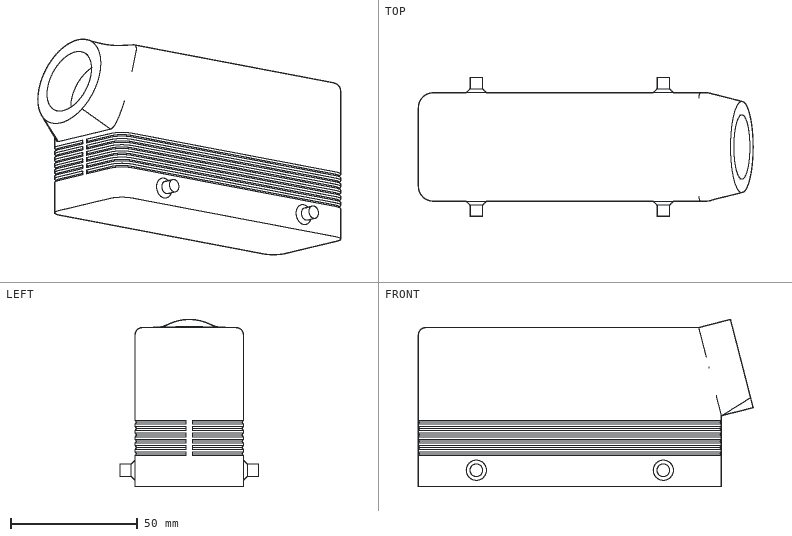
import cadquery as cq
import math

BODY_LENGTH = 120.0
BODY_WIDTH = 43.0
BODY_HEIGHT = 63.0
CORNER_RADIUS = 6.0
TOP_ROUNDING = 3.0

GROOVE_COUNT = 6
GROOVE_PITCH = 2.5
GROOVE_WIDTH = 1.5
GROOVE_DEPTH = 0.65
GROOVE_LOWEST_Z = 13.0
GROOVE_GAP = 2.4

PIN_SPACING = 74.0
PIN_Z = 6.5
PIN_DIAMETER = 5.0
PIN_REACH = 6.0
FOOT_DIAMETER = 8.0
FOOT_HEIGHT = 1.5

CUT_RUN = 9.0
CUT_DROP = 35.0
OUTLET_DIAMETER = math.hypot(CUT_RUN, CUT_DROP)
OUTLET_LENGTH = 13.0
BORE_DIAMETER = 25.5

CUT_PLANE = cq.Plane(
    origin=(BODY_LENGTH / 2 - CUT_RUN / 2, 0, BODY_HEIGHT - CUT_DROP / 2),
    xDir=(0, 1, 0),
    normal=(CUT_DROP, 0, CUT_RUN),
)


def rounded_outline(z):
    """The body's outline as a closed sketch at height z."""
    outline = cq.Sketch().rect(BODY_LENGTH, BODY_WIDTH).vertices().fillet(CORNER_RADIUS)
    return cq.Workplane("XY", origin=(0, 0, z)).placeSketch(outline)


def make_body():
    """Rounded block with its upper +X corner cut off along the sloping plane."""
    block = rounded_outline(0).extrude(BODY_HEIGHT).faces(">Z").edges().fillet(TOP_ROUNDING)
    corner = cq.Workplane(CUT_PLANE).rect(2 * BODY_WIDTH, 2 * BODY_HEIGHT).extrude(BODY_LENGTH)
    return block.cut(corner)


def make_outlet(body):
    """Neck that blends from the body's sloping cut face to a round end."""
    cut_face = body.faces(cq.selectors.DirectionNthSelector(CUT_PLANE.zDir, -1)).val()
    end_plane = cq.Workplane(CUT_PLANE).workplane(offset=OUTLET_LENGTH)
    end_circle = end_plane.circle(OUTLET_DIAMETER / 2).wires().val()
    return cq.Workplane(cq.Solid.makeLoft([cut_face.outerWire(), end_circle], ruled=True))


def make_bore():
    """Bore along the outlet, from its round end to the cut face."""
    return cq.Workplane(CUT_PLANE).circle(BORE_DIAMETER / 2).extrude(OUTLET_LENGTH)


def make_groove(z):
    """Ring with a V-shaped inner edge, centred on height z and open on both end faces."""
    bottom = z - GROOVE_WIDTH / 2
    slope = math.degrees(math.atan2(GROOVE_DEPTH, GROOVE_WIDTH / 2))
    plane = cq.Workplane("XY", origin=(0, 0, bottom))
    ring = plane.rect(2 * BODY_LENGTH, 2 * BODY_WIDTH).extrude(GROOVE_WIDTH)
    gap = plane.rect(2 * BODY_LENGTH, GROOVE_GAP).extrude(GROOVE_WIDTH)
    lower_core = rounded_outline(bottom).extrude(GROOVE_WIDTH / 2, taper=slope)
    upper_core = lower_core.mirror("XY", (0, 0, z))
    return ring.cut(lower_core).cut(upper_core).cut(gap)


def make_pin(x, side):
    """Pin with a conical foot on the long side facing +Y (side = 1) or -Y (side = -1)."""
    wall = BODY_WIDTH / 2
    pin_radius = PIN_DIAMETER / 2
    pin = (
        cq.Workplane("XY")
        .moveTo(0, wall)
        .lineTo(FOOT_DIAMETER / 2, wall)
        .lineTo(pin_radius, wall + FOOT_HEIGHT)
        .lineTo(pin_radius, wall + PIN_REACH)
        .lineTo(0, wall + PIN_REACH)
        .close()
        .revolve(360, (0, 0), (0, 1))
    )
    turn = 0 if side > 0 else 180
    return pin.rotate((0, 0, 0), (0, 0, 1), turn).translate((x, 0, PIN_Z))


body = make_body()
result = body.union(make_outlet(body)).cut(make_bore())
for index in range(GROOVE_COUNT):
    result = result.cut(make_groove(GROOVE_LOWEST_Z + index * GROOVE_PITCH))
for x in (-PIN_SPACING / 2, PIN_SPACING / 2):
    for side in (-1, 1):
        result = result.union(make_pin(x, side))